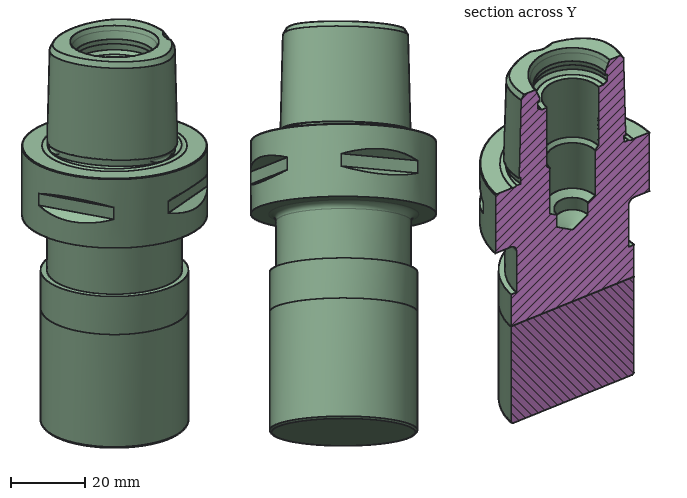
import cadquery as cq
import math

total_height = 110.0
blank_height = 33.0
collar_top = 44.0
flange_bottom = 60.0
flange_top = 80.0
taper_bottom = 82.2

blank_diameter = 39.9
neck_diameter = 36.5
flange_diameter = 50.0
flange_edge_chamfer = 0.2
blank_edge_chamfer = 0.5
neck_fillet = 2.0

lobe_count = 3
shank_radius = 17.6
lobe_height = 1.0
taper_ratio = 1 / 40
lobe_direction = -90.0
outline_points = 48
undercut_inset = 0.5
tip_chamfer_height = 1.5
tip_chamfer_width = 0.9

step_rise = 0.2
relief_section_radius = 1.4
relief_ring_radius = 19.0
relief_center_z = flange_top + 1.3

groove_count = 4
groove_depth = 2.8
groove_floor_width = 3.4
groove_mouth_width = 6.9

notch_radius = 9.9
notch_floor_y = 14.0
notch_tilt = 45.0
notch_length = 17.6

mouth_radius = 12.0
mouth_chamfer_depth = 1.2
bore_radius = 11.4
lip_radius = 10.6
lip_top_depth = 3.4
lip_bottom_depth = 4.7
recess_radius = 11.2
recess_depth = 6.7
seat_radius = 10.0
seat_depth = 7.6
thread_relief_radius = 8.4
thread_relief_depth = 27.5
thread_radius = 7.3
thread_depth = 44.0
drill_radius = 5.0
drill_depth = 49.5
cone_half_angle = 59.0


def lobed_outline(z, radius):
    """Closed constant-width, three-lobed curve at height z."""
    points = []
    for i in range(outline_points):
        turn = 2 * math.pi * i / outline_points
        support = radius + lobe_height * math.cos(lobe_count * turn)
        slope = -lobe_count * lobe_height * math.sin(lobe_count * turn)
        angle = turn + math.radians(lobe_direction)
        points.append((
            support * math.cos(angle) - slope * math.sin(angle),
            support * math.sin(angle) + slope * math.cos(angle),
            z,
        ))
    edge = cq.Edge.makeSpline([cq.Vector(*p) for p in points], periodic=True)
    return cq.Wire.assembleEdges([edge])


def lobed_solid(z_low, radius_low, z_high, radius_high):
    outlines = [lobed_outline(z_low, radius_low), lobed_outline(z_high, radius_high)]
    return cq.Workplane(obj=cq.Solid.makeLoft(outlines, True))


def turned_base():
    """Collar, filleted neck, flange and the low step under the shank."""
    neck_radius = neck_diameter / 2
    flange_radius = flange_diameter / 2
    arc_shift = neck_fillet * (1 - math.sqrt(0.5))
    return (
        cq.Workplane("XZ")
        .moveTo(0, blank_height)
        .lineTo(blank_diameter / 2, blank_height)
        .lineTo(blank_diameter / 2, collar_top)
        .lineTo(neck_radius, collar_top)
        .lineTo(neck_radius, flange_bottom - neck_fillet)
        .threePointArc(
            (neck_radius + arc_shift, flange_bottom - arc_shift),
            (neck_radius + neck_fillet, flange_bottom),
        )
        .lineTo(flange_radius, flange_bottom)
        .lineTo(flange_radius, flange_top - flange_edge_chamfer)
        .lineTo(flange_radius - flange_edge_chamfer, flange_top)
        .lineTo(relief_ring_radius, flange_top)
        .lineTo(relief_ring_radius, flange_top + step_rise)
        .lineTo(0, flange_top + step_rise)
        .close()
        .revolve(360, (0, 0, 0), (0, 1, 0))
    )


def relief_groove():
    """Ring-shaped groove with a round bottom and straight walls up to the taper."""
    inner = relief_ring_radius - relief_section_radius
    outer = relief_ring_radius + relief_section_radius
    return (
        cq.Workplane("XZ")
        .moveTo(inner, relief_center_z)
        .threePointArc(
            (relief_ring_radius, relief_center_z - relief_section_radius),
            (outer, relief_center_z),
        )
        .lineTo(outer, taper_bottom)
        .lineTo(inner, taper_bottom)
        .close()
        .revolve(360, (0, 0, 0), (0, 1, 0))
    )


def taper_shank():
    chamfer_z = total_height - tip_chamfer_height
    chamfer_radius = shank_radius - (chamfer_z - taper_bottom) * taper_ratio
    taper = lobed_solid(taper_bottom, shank_radius, chamfer_z, chamfer_radius)
    tip = lobed_solid(chamfer_z, chamfer_radius, total_height, chamfer_radius - tip_chamfer_width)
    return taper.union(tip)


def shank_undercut():
    radius = shank_radius - undercut_inset
    return lobed_solid(flange_top, radius, taper_bottom, radius)


def gripper_groove(angle):
    """Straight groove with a flat floor and sloping walls, across one side of the flange."""
    flange_radius = flange_diameter / 2
    middle_z = (flange_bottom + flange_top) / 2
    floor_x = flange_radius - groove_depth
    half_floor = groove_floor_width / 2
    half_mouth = groove_mouth_width / 2
    return (
        cq.Workplane("XZ")
        .polyline([
            (floor_x, middle_z - half_floor),
            (flange_radius, middle_z - half_mouth),
            (flange_radius, middle_z + half_mouth),
            (floor_x, middle_z + half_floor),
        ])
        .close()
        .extrude(flange_radius, both=True)
        .rotate((0, 0, 0), (0, 0, 1), angle)
    )


def tip_notch():
    """Cylinder sloping down and outward, whose lowest line crosses the tip at notch_floor_y."""
    return (
        cq.Workplane("XY")
        .center(0, notch_radius)
        .circle(notch_radius)
        .extrude(notch_length / 2, both=True)
        .rotate((0, 0, 0), (1, 0, 0), notch_tilt)
        .translate((0, notch_floor_y, total_height))
    )


def stepped_bore():
    floor_step = (thread_radius - drill_radius) / math.tan(math.radians(cone_half_angle))
    point_length = drill_radius / math.tan(math.radians(cone_half_angle))
    relief_step = thread_relief_radius - thread_radius
    profile = [
        (0, 0),
        (mouth_radius, 0),
        (bore_radius, mouth_chamfer_depth),
        (lip_radius, lip_top_depth),
        (lip_radius, lip_bottom_depth),
        (recess_radius, lip_bottom_depth),
        (recess_radius, recess_depth),
        (seat_radius, seat_depth),
        (thread_relief_radius, seat_depth),
        (thread_relief_radius, thread_relief_depth),
        (thread_radius, thread_relief_depth + relief_step),
        (thread_radius, thread_depth),
        (drill_radius, thread_depth + floor_step),
        (drill_radius, drill_depth),
        (0, drill_depth + point_length),
    ]
    return (
        cq.Workplane("XZ")
        .polyline([(radius, total_height - depth) for radius, depth in profile])
        .close()
        .revolve(360, (0, 0, 0), (0, 1, 0))
    )


def make_holder():
    holder = turned_base().union(shank_undercut()).cut(relief_groove()).union(taper_shank())
    for i in range(groove_count):
        holder = holder.cut(gripper_groove((i + 0.5) * 360 / groove_count))
    return holder.cut(tip_notch()).cut(stepped_bore())


def make_blank():
    """Plain cylinder below the holder, chamfered at its free end."""
    return (
        cq.Workplane("XY")
        .circle(blank_diameter / 2)
        .extrude(blank_height)
        .faces("<Z")
        .chamfer(blank_edge_chamfer)
    )


holder = make_holder()
blank = make_blank()

result = cq.Compound.makeCompound([holder.solids().val(), blank.val()])